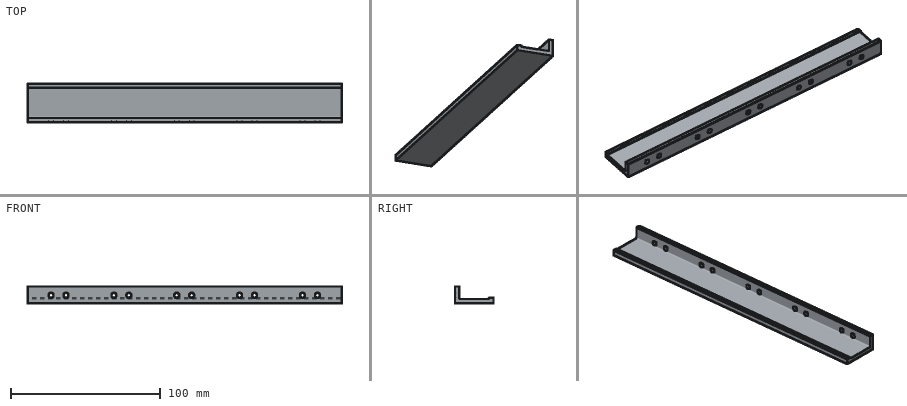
import math

import cadquery as cq

length = 210.0
width = 26.0
height = 11.5

base_thickness = 3.0
wall_thickness = 3.0
lip_width = 3.0
lip_height = 4.0
foot_radius = 0.9
edge_chamfer = 0.25

hole_diameter = 3.2
hole_height = 5.5
pair_count = 5
pair_pitch = length / pair_count
hole_spacing = 10.0
hole_pattern_offset = -0.35

front_y = -width / 2
back_y = width / 2
wall_inner_y = front_y + wall_thickness
lip_inner_y = back_y - lip_width
lip_arc_center_y = lip_inner_y - foot_radius


def make_channel():
    """Extrude the cross-section along X: floor, tall front wall and low rear lip."""
    arc_center_z = base_thickness + foot_radius
    half_chord = foot_radius * math.sqrt(0.5)

    wall_arc_center_y = wall_inner_y + foot_radius
    wall_arc_middle = (wall_arc_center_y - half_chord, arc_center_z - half_chord)

    lip_arc_middle = (lip_arc_center_y + half_chord, arc_center_z - half_chord)
    chamfer_bottom_z = lip_height - edge_chamfer
    chamfer_bottom_y = lip_arc_center_y + math.sqrt(foot_radius**2 - (arc_center_z - chamfer_bottom_z) ** 2)

    profile = (
        cq.Workplane("YZ")
        .moveTo(front_y, 0)
        .lineTo(back_y, 0)
        .lineTo(back_y, lip_height - edge_chamfer)
        .lineTo(back_y - edge_chamfer, lip_height)
        .lineTo(lip_inner_y + edge_chamfer, lip_height)
        .lineTo(chamfer_bottom_y, chamfer_bottom_z)
        .threePointArc(lip_arc_middle, (lip_arc_center_y, base_thickness))
        .lineTo(wall_arc_center_y, base_thickness)
        .threePointArc(wall_arc_middle, (wall_inner_y, arc_center_z))
        .lineTo(wall_inner_y, height - edge_chamfer)
        .lineTo(wall_inner_y - edge_chamfer, height)
        .lineTo(front_y + edge_chamfer, height)
        .lineTo(front_y, height - edge_chamfer)
        .close()
    )
    return profile.extrude(length / 2, both=True)


def make_corner_envelope():
    """Bounding block with its four vertical corners chamfered."""
    block = cq.Workplane("XY").box(length, width, height, centered=(True, True, False))
    return block.edges("|Z").chamfer(edge_chamfer)


def make_end_wedge(end, top_z, start_y, span_y):
    """Wedge that chamfers a top edge at one end; end is -1 or 1 along X."""
    end_x = end * length / 2
    corners = [
        (end_x, top_z),
        (end_x - end * edge_chamfer, top_z),
        (end_x, top_z - edge_chamfer),
    ]
    wedge_plane = cq.Workplane("XZ", origin=(0, start_y, 0))
    return wedge_plane.polyline(corners).close().extrude(-span_y)


def make_wall_holes():
    """Cylinders along Y that pass through the front wall only."""
    centers = []
    for pair in range(pair_count):
        pair_x = hole_pattern_offset + (pair - (pair_count - 1) / 2) * pair_pitch
        for side in (-1, 1):
            centers.append((pair_x + side * hole_spacing / 2, hole_height))
    wall_plane = cq.Workplane("XZ", origin=(0, front_y, 0))
    return wall_plane.pushPoints(centers).circle(hole_diameter / 2).extrude(-wall_thickness)


result = make_channel().intersect(make_corner_envelope())
for end in (-1, 1):
    result = result.cut(make_end_wedge(end, height, front_y, wall_thickness))
    result = result.cut(make_end_wedge(end, lip_height, lip_arc_center_y, back_y - lip_arc_center_y))
result = result.cut(make_wall_holes())